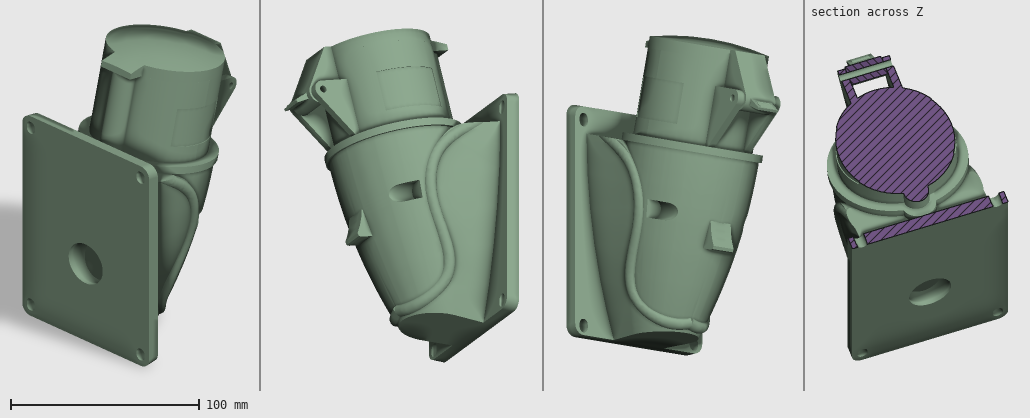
import cadquery as cq
import math


TILT = 15.0
AXIS_FOOT_Y = 25.0

PLATE_WIDTH = 88.0
PLATE_THICK = 7.2
PLATE_TOP = 126.0
PLATE_CORNER = 5.8
SCREW_X = 38.1
SCREW_HEIGHTS = (7.0, 118.7)
SCREW_SLOT_WIDTH = 5.6
SCREW_SLOT_LENGTH = 7.0
CABLE_HOLE_DIA = 23.7
CABLE_HOLE_HEIGHT = 48.6
CABLE_HOLE_DEPTH = 14.2

CUP_START = -9.7
FLANGE_BOTTOM = 101.2
FLANGE_TOP = 105.2
LID_BOTTOM = 151.5
LID_APEX = 161.9

CUP_RADIUS = 36.2
CUP_CURVE = 305.7
FLANGE_RADIUS = 37.8
FLANGE_KEY_RADIUS = 9.2
FLANGE_KEY_REACH = 44.7

NECK_CURVE_BOTTOM = 77.7
NECK_CURVE_REACH = 24.1
NECK_LENGTH = 96.5

BEAD_RADIUS = 3.4
BEAD_INSET = 1.3
BEAD_PATH = (
    (-33.8, 102.7),
    (-15.1, 95.5),
    (-2.7, 86.7),
    (3.4, 76.5),
    (5.1, 58.0),
    (3.4, 20.1),
    (16.3, 10.3),
)
BEAD_END_LEVEL = 11.3
BEAD_SHOULDER_TUCK = 0.3

SLOT_LEVEL = 67.5
SLOT_RADIUS = 4.8
SLOT_CENTRE_X = 27.8
SLOT_END_Y = 11.0
CATCH_HALF_WIDTH = 6.9
CATCH_TOP = (34.1, 66.6)
CATCH_MID = (36.5, 59.9)
CATCH_TIP_TOP = (40.0, 53.7)
CATCH_TIP_BOTTOM = (39.7, 52.0)
CATCH_BOTTOM = 51.5

BARREL_RADIUS = 32.2
KEY_RADIUS = 6.9
KEY_REACH = 38.8
LABEL_HALF_WIDTH = 17.4
LABEL_BOTTOM = 114.4
LABEL_TOP = 136.5
LABEL_DEPTH = 0.5

PIN_Y = 44.5
PIN_LEVEL = 132.9
PIN_HOLE_RADIUS = 2.0
LUG_RADIUS = 4.8
LUG_INNER_X = 10.1
LUG_OUTER_X = 14.6
LUG_FOOT_Y = 30.9
LUG_ROOT_Y = 24.1

LID_RADIUS = BARREL_RADIUS
LID_DOME_RADIUS = 132.0
DOME_EDGE = 48.3
LIP_HALF_WIDTH = LUG_INNER_X
LIP_REACH = 41.0
HINGE_TOP_Y = 34.8
HINGE_TOP_LEVEL = 158.0
HINGE_RADIUS = 6.0
TAB_HALF_WIDTH = 6.9
TAB_ROOT_Y = 46.7
TAB_ROOT_TOP = 136.1
TAB_ROOT_BOTTOM = 131.3
TAB_TIP_TOP = (58.0, 130.3)
TAB_TIP_BOTTOM = (57.3, 129.0)
RIDGE_COUNT = 4
RIDGE_PITCH = 1.5
RIDGE_HEIGHT = 0.5
RIDGE_HALF_WIDTH = 4.8

BIG = 482.7


def to_local(y, z):
    """Local (Y, Z) of a point given in the upright frame of the part."""
    lean = math.radians(TILT)
    dy = y - AXIS_FOOT_Y
    return dy * math.cos(lean) - z * math.sin(lean), dy * math.sin(lean) + z * math.cos(lean)


def place(body):
    """Lean a locally built body and set it over the foot of its axis."""
    return body.rotate((0, 0, 0), (1, 0, 0), -TILT).translate((0, AXIS_FOOT_Y, 0))


def cylinder_z(radius, bottom, top, y=0.0):
    return cq.Workplane("XY", origin=(0, y, bottom)).circle(radius).extrude(top - bottom)


def block(x_range, y_range, z_range):
    """Axis-aligned box from its three (low, high) ranges."""
    sizes = [high - low for low, high in (x_range, y_range, z_range)]
    corner = (x_range[0], y_range[0], z_range[0])
    return cq.Workplane("XY").box(*sizes, centered=False).translate(corner)


def tangent_point(centre, radius, point, side):
    """Point where a line from an outside point touches a circle; side is +1 or -1."""
    dy = point[0] - centre[0]
    dz = point[1] - centre[1]
    angle = math.atan2(dz, dy) + side * math.acos(radius / math.hypot(dy, dz))
    return centre[0] + radius * math.cos(angle), centre[1] + radius * math.sin(angle)


def cup_radius(level):
    """Radius of the cup at a level; its side is an arc, upright at the flange."""
    drop = FLANGE_BOTTOM - level
    return CUP_RADIUS - CUP_CURVE + math.sqrt(CUP_CURVE ** 2 - drop ** 2)


def cup_half_outline():
    middle = (CUP_START + FLANGE_BOTTOM) / 2
    return (
        cq.Workplane("XZ")
        .moveTo(0, CUP_START)
        .lineTo(cup_radius(CUP_START), CUP_START)
        .threePointArc((cup_radius(middle), middle), (CUP_RADIUS, FLANGE_BOTTOM))
        .lineTo(0, FLANGE_BOTTOM)
        .close()
    )


def make_cup():
    return cup_half_outline().revolve(360, (0, 0, 0), (0, 1, 0))


def make_neck():
    """The cup outline carried straight to the plate, with a curved shoulder cut away."""
    half = cup_half_outline().extrude(NECK_LENGTH)
    neck = half.union(half.mirror("YZ"))
    rise = FLANGE_BOTTOM - NECK_CURVE_BOTTOM
    bend = math.radians(45)
    arc_mid = (
        -NECK_CURVE_REACH * (1 - math.cos(bend)),
        NECK_CURVE_BOTTOM + rise * math.sin(bend),
    )
    shoulder = (
        cq.Workplane("YZ")
        .moveTo(0, NECK_CURVE_BOTTOM)
        .threePointArc(arc_mid, (-NECK_CURVE_REACH, FLANGE_BOTTOM))
        .lineTo(0, FLANGE_BOTTOM)
        .close()
        .extrude(BIG, both=True)
    )
    return neck.cut(shoulder)


def make_half_bead():
    """Round bead running down the -X side of the cup and round to the middle of its back."""
    points = []
    for y, level in BEAD_PATH:
        radius = cup_radius(level) - BEAD_INSET
        offset = y if y > 0 else BEAD_SHOULDER_TUCK * y
        points.append((-math.sqrt(radius ** 2 - offset ** 2), y, level))
    points.append((0, cup_radius(BEAD_END_LEVEL) - BEAD_INSET, BEAD_END_LEVEL))
    path = cq.Workplane("XY").spline(points)
    edge = path.val()
    section = cq.Plane(origin=edge.startPoint(), xDir=(1, 0, 0), normal=edge.tangentAt(0))
    bead = cq.Workplane(section).circle(BEAD_RADIUS).sweep(path)
    return bead.intersect(block((-BIG, 0), (-BIG, BIG), (-BIG, FLANGE_BOTTOM)))


def make_lower_socket():
    """Cup, neck and bead, built as the -X half and mirrored."""
    half_space = block((-BIG, 0), (-BIG, BIG), (-BIG, BIG))
    half = make_cup().union(make_neck()).intersect(half_space).union(make_half_bead())
    return half.union(half.mirror("YZ"))


def make_flange():
    ring = cylinder_z(FLANGE_RADIUS, FLANGE_BOTTOM, FLANGE_TOP)
    bump = cylinder_z(
        FLANGE_KEY_RADIUS, FLANGE_BOTTOM, FLANGE_TOP, FLANGE_KEY_RADIUS - FLANGE_KEY_REACH
    )
    return ring.union(bump)


def make_barrel():
    barrel = cylinder_z(BARREL_RADIUS, FLANGE_TOP, LID_BOTTOM)
    key = cylinder_z(KEY_RADIUS, FLANGE_TOP, LID_BOTTOM, KEY_RADIUS - KEY_REACH)
    label_area = block(
        (-BIG, BIG), (-LABEL_HALF_WIDTH, LABEL_HALF_WIDTH), (LABEL_BOTTOM, LABEL_TOP)
    )
    core = cylinder_z(BARREL_RADIUS - LABEL_DEPTH, FLANGE_TOP, LID_BOTTOM)
    return barrel.cut(label_area.cut(core)).union(key)


def make_lugs():
    """Pair of hinge plates on the back of the barrel."""
    pin = (PIN_Y, PIN_LEVEL)
    touch = tangent_point(pin, LUG_RADIUS, (LUG_FOOT_Y, FLANGE_TOP), 1)
    lug = (
        cq.Workplane("YZ", origin=(LUG_INNER_X, 0, 0))
        .moveTo(LUG_ROOT_Y, FLANGE_TOP)
        .lineTo(LUG_ROOT_Y, PIN_LEVEL + LUG_RADIUS)
        .lineTo(PIN_Y, PIN_LEVEL + LUG_RADIUS)
        .threePointArc((PIN_Y + LUG_RADIUS, PIN_LEVEL), touch)
        .lineTo(LUG_FOOT_Y, FLANGE_TOP)
        .close()
        .extrude(LUG_OUTER_X - LUG_INNER_X)
    )
    return lug.union(lug.mirror("YZ"))


def make_catch():
    """Hooked rib low on the back of the cup."""
    return (
        cq.Workplane("YZ")
        .moveTo(0, CATCH_BOTTOM)
        .lineTo(0, CATCH_TOP[1])
        .lineTo(*CATCH_TOP)
        .threePointArc(CATCH_MID, CATCH_TIP_TOP)
        .lineTo(*CATCH_TIP_BOTTOM)
        .lineTo(CATCH_TIP_BOTTOM[0] - 1.6, CATCH_BOTTOM)
        .close()
        .extrude(CATCH_HALF_WIDTH, both=True)
    )


def make_finger_slots():
    """Round-bottomed slots, one in each side of the cup, open toward the back."""
    slot = (
        cq.Workplane("XZ", origin=(0, SLOT_END_Y, 0))
        .moveTo(CUP_RADIUS, SLOT_LEVEL - SLOT_RADIUS)
        .lineTo(SLOT_CENTRE_X, SLOT_LEVEL - SLOT_RADIUS)
        .threePointArc(
            (SLOT_CENTRE_X - SLOT_RADIUS, SLOT_LEVEL),
            (SLOT_CENTRE_X, SLOT_LEVEL + SLOT_RADIUS),
        )
        .lineTo(CUP_RADIUS, SLOT_LEVEL + SLOT_RADIUS)
        .close()
        .extrude(-CUP_RADIUS)
    )
    return slot.union(slot.mirror("YZ"))


def make_pin_hole():
    return (
        cq.Workplane("YZ")
        .center(PIN_Y, PIN_LEVEL)
        .circle(PIN_HOLE_RADIUS)
        .extrude(BIG, both=True)
    )


def make_plate():
    """Upright plate whose top face and top corners follow the lean of the socket."""
    half_width = PLATE_WIDTH / 2
    upright = block((-half_width, half_width), (0, PLATE_THICK), (0, PLATE_TOP))
    upright = upright.edges("|Y and <Z").fillet(PLATE_CORNER)
    top = to_local(0, PLATE_TOP)[1]
    leaning = block((-half_width, half_width), (-BIG, BIG), (-BIG, top))
    leaning = leaning.edges("|Y and >Z").fillet(PLATE_CORNER)
    return upright.intersect(place(leaning))


def plate_hole_plane(x, height):
    """Plane through a point on the plate front, facing out square to the socket axis."""
    y, level = to_local(0, height)
    return cq.Workplane("XZ", origin=(x, y, level))


def make_screw_slots():
    slots = cq.Workplane("XY")
    for x in (-SCREW_X, SCREW_X):
        for height in SCREW_HEIGHTS:
            slot = (
                plate_hole_plane(x, height)
                .slot2D(SCREW_SLOT_LENGTH, SCREW_SLOT_WIDTH, 90)
                .extrude(2 * PLATE_THICK, both=True)
            )
            slots = slots.add(slot)
    return slots.combine()


def make_cable_hole():
    """Blind hole from the plate front; it also clears the wedge in front of its plane."""
    hole = plate_hole_plane(0, CABLE_HOLE_HEIGHT).circle(CABLE_HOLE_DIA / 2)
    blind = hole.extrude(-CABLE_HOLE_DEPTH)
    entry = plate_hole_plane(0, CABLE_HOLE_HEIGHT).circle(CABLE_HOLE_DIA / 2)
    return blind.union(entry.extrude(PLATE_THICK))


def make_housing():
    socket = make_lower_socket().union(make_catch())
    socket = socket.cut(make_finger_slots())
    socket = socket.union(make_flange()).union(make_barrel()).union(make_lugs())
    socket = socket.cut(make_pin_hole())
    behind_plate = block((-BIG, BIG), (PLATE_THICK, BIG), (0, BIG))
    body = place(socket).intersect(behind_plate).union(make_plate())
    return body.cut(place(make_screw_slots())).cut(place(make_cable_hole()))


def make_cap():
    """Disc with a square front lip, both under one shallow dome."""
    disc = cylinder_z(LID_RADIUS, LID_BOTTOM, LID_APEX)
    lip = block(
        (-LIP_HALF_WIDTH, LIP_HALF_WIDTH), (-LIP_REACH, 0), (LID_BOTTOM, LID_APEX)
    )
    rim = LID_APEX - LID_DOME_RADIUS + math.sqrt(LID_DOME_RADIUS ** 2 - DOME_EDGE ** 2)
    dome_arc = cq.Workplane("XZ").moveTo(0, LID_APEX).radiusArc((DOME_EDGE, rim), LID_DOME_RADIUS)
    dome = (
        dome_arc
        .lineTo(DOME_EDGE, LID_BOTTOM)
        .lineTo(0, LID_BOTTOM)
        .close()
        .revolve(360, (0, 0, 0), (0, 1, 0))
    )
    return disc.union(lip).intersect(dome)


def make_hinge_arm():
    """Arm from the cap edge down to a round eye between the lugs."""
    touch = tangent_point((PIN_Y, PIN_LEVEL), HINGE_RADIUS, (HINGE_TOP_Y, HINGE_TOP_LEVEL), -1)
    arm = (
        cq.Workplane("YZ")
        .moveTo(LUG_ROOT_Y, HINGE_TOP_LEVEL)
        .lineTo(HINGE_TOP_Y, HINGE_TOP_LEVEL)
        .lineTo(*touch)
        .threePointArc((PIN_Y, PIN_LEVEL - HINGE_RADIUS), (PIN_Y - HINGE_RADIUS, PIN_LEVEL))
        .lineTo(LUG_ROOT_Y, PIN_LEVEL)
        .close()
        .extrude(LUG_INNER_X, both=True)
    )
    return arm.cut(cylinder_z(BARREL_RADIUS, FLANGE_TOP, LID_BOTTOM))


def make_tab():
    """Thin finger tab on the back of the hinge eye."""
    return (
        cq.Workplane("YZ")
        .polyline([
            (TAB_ROOT_Y, TAB_ROOT_TOP), TAB_TIP_TOP, TAB_TIP_BOTTOM, (TAB_ROOT_Y, TAB_ROOT_BOTTOM)
        ])
        .close()
        .extrude(TAB_HALF_WIDTH, both=True)
    )


def make_grip_ridges():
    """Row of small V ridges across the top face of the tab, counted from its tip."""
    back = TAB_ROOT_Y - TAB_TIP_TOP[0]
    rise = TAB_ROOT_TOP - TAB_TIP_TOP[1]
    slope = math.degrees(math.atan2(rise, -back))
    ridge = (
        cq.Workplane("YZ")
        .polyline([(0, -RIDGE_HEIGHT), (0, 0), (-RIDGE_PITCH / 2, RIDGE_HEIGHT)])
        .lineTo(-RIDGE_PITCH, 0)
        .lineTo(-RIDGE_PITCH, -RIDGE_HEIGHT)
        .close()
        .extrude(RIDGE_HALF_WIDTH, both=True)
    )
    ridges = ridge
    for index in range(1, RIDGE_COUNT):
        ridges = ridges.union(ridge.translate((0, -index * RIDGE_PITCH, 0)))
    ridges = ridges.translate((0, -RIDGE_PITCH / 2, 0)).rotate((0, 0, 0), (1, 0, 0), -slope)
    return ridges.translate((0, *TAB_TIP_TOP))


def make_lid():
    lid = make_cap().union(make_hinge_arm()).union(make_tab()).union(make_grip_ridges())
    return place(lid.cut(make_pin_hole()))


housing = make_housing()
lid = make_lid()
result = cq.Compound.makeCompound([housing.val(), lid.val()])